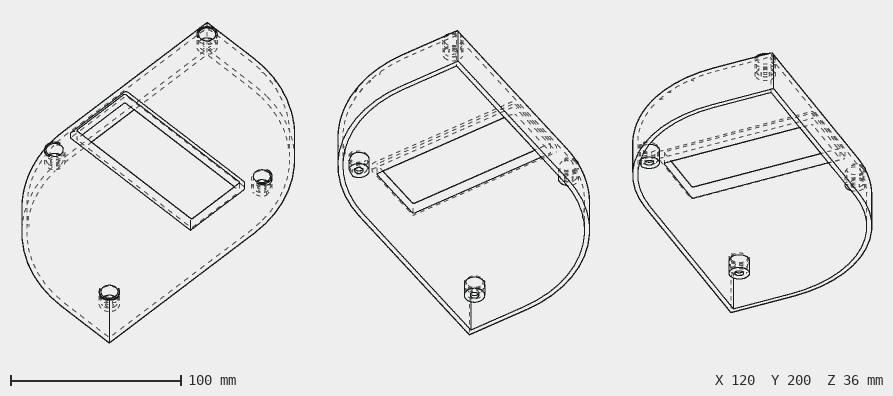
import cadquery as cq

width = 120.0
length = 200.0
body_height = 30.0
corner_radius = 80.0
edge_radius = 8.0
side_wall = 3.0
top_wall = 2.0

total_height = 36.0
frame_width = 100.0
frame_length = 46.0
frame_edge_radius = 2.0
window_width = 96.0
window_length = 40.0
window_corner_radius = 1.0

boss_diameter = 12.0
head_diameter = 10.0
head_depth = 9.0
boss_height = 11.0
screw_diameter = 5.0
boss_x = width / 2 - 10.0
corner_boss_y = length / 2 - 10.0
side_boss_y = 36.0
boss_centers = [
    (-boss_x, corner_boss_y),
    (boss_x, side_boss_y),
    (-boss_x, -side_boss_y),
    (boss_x, -corner_boss_y),
]


def leaf_block(inset, height):
    """Block with two opposite rounded corners, its sides set in from the outside."""
    block = cq.Workplane("XY").box(
        width - 2 * inset, length - 2 * inset, height, centered=(True, True, False)
    )
    rounded_corners = cq.selectors.BoxSelector((0, 0, 0), (width, length, height))
    opposite_corners = cq.selectors.BoxSelector((-width, -length, 0), (0, 0, height))
    block = block.edges(rounded_corners + opposite_corners).edges("|Z").fillet(corner_radius - inset)
    return block.faces(">Z").edges().fillet(edge_radius - inset)


def boss_cylinders(diameter, bottom, top):
    """Vertical cylinders on all screw axes."""
    plane = cq.Workplane("XY").workplane(offset=bottom)
    return plane.pushPoints(boss_centers).circle(diameter / 2).extrude(top - bottom)


def window_frame():
    """Solid frame block with rounded top edges and +Y corners, seated in the top wall."""
    bottom = body_height - top_wall
    block = cq.Workplane("XY").workplane(offset=bottom).rect(frame_width, frame_length)
    block = block.extrude(total_height - bottom).edges("|Z and >Y").fillet(frame_edge_radius)
    return block.faces(">Z").edges().fillet(frame_edge_radius)


shell = leaf_block(0, body_height).cut(leaf_block(side_wall, body_height - top_wall))
body = shell.union(window_frame())
body = body.union(boss_cylinders(boss_diameter, body_height - boss_height, body_height))

window = cq.Workplane("XY").rect(window_width, window_length).extrude(total_height)
window = window.edges("|Z").fillet(window_corner_radius)
body = body.cut(window)
body = body.cut(boss_cylinders(head_diameter, body_height - head_depth, body_height))
result = body.cut(boss_cylinders(screw_diameter, 0, body_height))